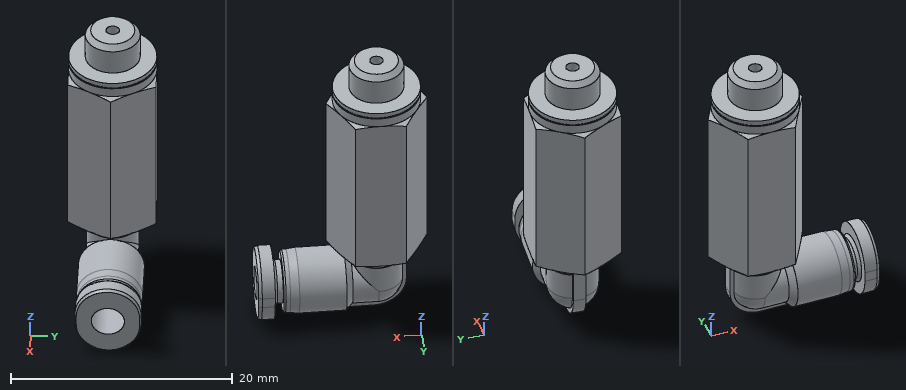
import cadquery as cq
import math

height = 28.5
across_flats = 8.0
corner_radius = across_flats / math.sqrt(3)
hex_bottom = 7.4
hex_top = 24.03
hex_chamfer_slope = math.tan(math.radians(15))

spigot_radius = 5.0 / 2
spigot_bottom = 25.55
spigot_chamfer = 0.5
washer_radius = across_flats / 2
washer_joint = 24.97
joint_width = 0.09
joint_depth = 0.1
bore_radius = 1.2 / 2

neck_radius = 5.4 / 2
neck_bottom = 6.2
elbow_radius = 4.8 / 2
rib_width = 1.2

tube_radius = 6.0 / 2
button_height = 7.0
axis_height = button_height / 2
tube_start = 2.95
taper_start = 7.27
taper_end = 8.1
taper_radius = 5.8 / 2
lip_start = 8.5
lip_radius = 2.8
tube_end = 8.65
stem_radius = 4.0 / 2
flare_start = 9.18
flare_radius = 2.25
button_start = 9.5
button_end = 15.62 - corner_radius
button_chamfer_length = 0.3
button_chamfer_inset = 0.15
socket_radius = 3.0 / 2


def upright_cylinder(radius, bottom, top):
    return cq.Workplane("XY").workplane(offset=bottom).circle(radius).extrude(top - bottom)


def socket_cylinder(radius, start, end):
    plane = cq.Plane(origin=(start, 0, axis_height), xDir=(0, 1, 0), normal=(1, 0, 0))
    return cq.Workplane(plane).circle(radius).extrude(end - start)


def make_hex_body():
    """Hexagonal prism with both ends trimmed by shallow cones."""
    prism = (
        cq.Workplane("XY").workplane(offset=hex_bottom)
        .polygon(6, 2 * corner_radius).extrude(hex_top - hex_bottom)
    )
    top_drop = (corner_radius - washer_radius) * hex_chamfer_slope
    bottom_rise = (corner_radius - neck_radius) * hex_chamfer_slope
    envelope = (
        cq.Workplane("XZ")
        .moveTo(0, hex_bottom)
        .lineTo(neck_radius, hex_bottom)
        .lineTo(corner_radius, hex_bottom + bottom_rise)
        .lineTo(corner_radius, hex_top - top_drop)
        .lineTo(washer_radius, hex_top)
        .lineTo(0, hex_top)
        .close()
        .revolve(360, (0, 0), (0, 1))
    )
    return prism.intersect(envelope)


def make_spigot():
    """Chamfered spigot on the washer, with the thin joint groove below the washer."""
    spigot = upright_cylinder(spigot_radius, spigot_bottom, height).faces(">Z").chamfer(spigot_chamfer)
    washer = upright_cylinder(washer_radius, washer_joint + joint_width / 2, spigot_bottom)
    joint = upright_cylinder(
        washer_radius - joint_depth, washer_joint - joint_width / 2, washer_joint + joint_width / 2
    )
    flange = upright_cylinder(washer_radius, hex_top, washer_joint - joint_width / 2)
    return flange.union(joint).union(washer).union(spigot)


def make_elbow():
    """Neck and two equal pipes meeting in a spherical corner."""
    neck_chamfer = neck_radius - elbow_radius
    neck = upright_cylinder(neck_radius, neck_bottom, hex_bottom).faces("<Z").chamfer(neck_chamfer)
    drop = upright_cylinder(elbow_radius, axis_height, hex_bottom)
    run = socket_cylinder(elbow_radius, 0, tube_start)
    corner = cq.Workplane("XY").sphere(elbow_radius).translate((0, 0, axis_height))
    return neck.union(drop).union(run).union(corner)


def make_rib():
    """Flat rib around the outside of the elbow, in its plane of symmetry."""
    bend_x = tube_radius - neck_radius
    diagonal = tube_radius * math.sqrt(0.5)
    return (
        cq.Workplane("XZ")
        .moveTo(-neck_radius, hex_bottom)
        .lineTo(-neck_radius, axis_height)
        .threePointArc(
            (bend_x - diagonal, axis_height - diagonal),
            (bend_x, axis_height - tube_radius),
        )
        .lineTo(tube_start, axis_height - tube_radius)
        .lineTo(tube_start, axis_height)
        .lineTo(0, axis_height)
        .lineTo(0, hex_bottom)
        .close()
        .extrude(rib_width / 2, both=True)
    )


def make_socket():
    """Turned socket: conical shoulder, tube with tapered lip, and the button stem."""
    shoulder_start = tube_start - (tube_radius - elbow_radius)
    return (
        cq.Workplane("XZ", origin=(0, 0, axis_height))
        .moveTo(shoulder_start, 0)
        .lineTo(shoulder_start, elbow_radius)
        .lineTo(tube_start, tube_radius)
        .lineTo(taper_start, tube_radius)
        .lineTo(taper_end, taper_radius)
        .lineTo(lip_start, taper_radius)
        .lineTo(tube_end, lip_radius)
        .lineTo(tube_end, stem_radius)
        .lineTo(flare_start, stem_radius)
        .lineTo(button_start, flare_radius)
        .lineTo(button_start, 0)
        .close()
        .revolve(360, (0, 0), (1, 0))
    )


def make_button():
    """Release button: a short upright stadium with a sloping outer rim."""
    plane = cq.Plane(origin=(button_start, 0, axis_height), xDir=(0, 1, 0), normal=(1, 0, 0))
    button = (
        cq.Workplane(plane)
        .slot2D(button_height, 2 * tube_radius, 90)
        .extrude(button_end - button_start)
    )
    return button.faces(">X").chamfer(button_chamfer_length, button_chamfer_inset)


def make_passage():
    """Flow passage from the spigot down to the elbow and out along the socket."""
    down = upright_cylinder(bore_radius, axis_height, height)
    corner = cq.Workplane("XY").sphere(bore_radius).translate((0, 0, axis_height))
    along = socket_cylinder(bore_radius, 0, button_end)
    tube_seat = socket_cylinder(socket_radius, tube_start, button_end)
    return down.union(corner).union(along).union(tube_seat)


result = make_hex_body()
for piece in (make_spigot(), make_elbow(), make_rib(), make_socket(), make_button()):
    result = result.union(piece)
result = result.cut(make_passage())